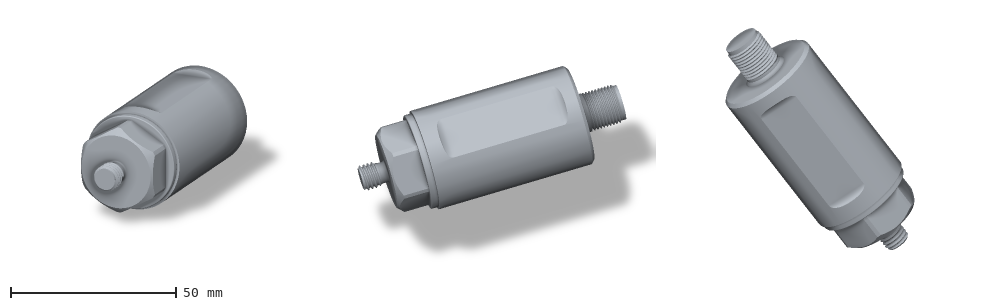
import cadquery as cq
import math


TOTAL_LENGTH = 82.35
STUD_LENGTH = 8.05
HEX_LENGTH = 9.85
RING_LENGTH = 2.25
BODY_LENGTH = 49.3
HEX_FRONT_Y = STUD_LENGTH
RING_FRONT_Y = HEX_FRONT_Y + HEX_LENGTH
BODY_FRONT_Y = RING_FRONT_Y + RING_LENGTH
BODY_BACK_Y = BODY_FRONT_Y + BODY_LENGTH

BODY_DIAMETER = 31.0
BODY_CHAMFER = 1.0

RECESS_DEPTH = 1.4
RECESS_FLAT_LENGTH = 35.0
RECESS_END_RADIUS = 2.5

RING_DIAMETER = 29.5
RING_FILLET = 0.3

HEX_SIDES = 6
HEX_ACROSS_FLATS = 24.0
HEX_CORNER_DIAMETER = 27.0
HEX_CHAMFER = 2.0

STUD_DIAMETER = 8.0
STUD_PITCH = 1.25
STUD_THREAD_TURNS = 4
STUD_ROOT_DIAMETER = 6.65
STUD_NECK_DIAMETER = 6.4
STUD_NECK_LENGTH = 2.5
STUD_NECK_TAPER_LENGTH = 0.4
STUD_NECK_FILLET = 0.5

PLUG_DIAMETER = 12.0
PLUG_PITCH = 1.0
PLUG_ROOT_DIAMETER = 10.8
PLUG_LEAD_LENGTH = 1.0
PLUG_COLLAR_LENGTH = 0.9
PLUG_CONE_HEIGHT = 1.0

CREST_TO_PITCH = 1 / 8
FLANK_ANGLE = math.radians(30)
RIDGE_OVERLAP = 0.1

CREST_CLEARANCE = 0.2


def cylinder(diameter, start_y, length):
    """Solid cylinder on the Y axis, from start_y towards +Y."""
    plane = cq.Workplane("XZ", origin=(0, start_y, 0))
    return plane.circle(diameter / 2).extrude(-length)


def thread_ridge(diameter, root_diameter, pitch, start_y, length):
    """Right-handed helical ridge whose centre line runs from start_y over length."""
    base_radius = root_diameter / 2 - RIDGE_OVERLAP
    tip_radius = diameter / 2
    crest_half = pitch * CREST_TO_PITCH / 2
    base_half = crest_half + (tip_radius - base_radius) * math.tan(FLANK_ANGLE)
    helix = cq.Wire.makeHelix(pitch, length, base_radius)
    profile = (
        cq.Workplane("XZ")
        .moveTo(base_radius, -base_half)
        .lineTo(tip_radius, -crest_half)
        .lineTo(tip_radius, crest_half)
        .lineTo(base_radius, base_half)
        .close()
    )
    ridge = profile.sweep(cq.Workplane(obj=helix), isFrenet=True)
    return ridge.rotate((0, 0, 0), (1, 0, 0), -90).translate((0, start_y, 0))


def make_body():
    """Sleeve with a chamfered plug end and two opposite label recesses."""
    body = cylinder(BODY_DIAMETER, BODY_FRONT_Y, BODY_LENGTH)
    body = body.faces(">Y").chamfer(BODY_CHAMFER)
    for side in (1, -1):
        body = body.cut(label_recess(side))
    return body


def label_recess(side):
    """Flat-bottomed cut with concave quarter-round ends, on the +Z (1) or -Z (-1) side."""
    floor_z = side * (BODY_DIAMETER / 2 - RECESS_DEPTH)
    arc_top_z = floor_z + side * RECESS_END_RADIUS
    middle_y = BODY_FRONT_Y + BODY_LENGTH / 2
    flat_half = RECESS_FLAT_LENGTH / 2
    end_half = flat_half + RECESS_END_RADIUS
    arc_middle_offset = RECESS_END_RADIUS * math.sqrt(0.5)
    arc_y = flat_half + arc_middle_offset
    arc_z = arc_top_z - side * arc_middle_offset
    return (
        cq.Workplane("YZ")
        .moveTo(middle_y - flat_half, floor_z)
        .lineTo(middle_y + flat_half, floor_z)
        .threePointArc((middle_y + arc_y, arc_z), (middle_y + end_half, arc_top_z))
        .lineTo(middle_y - end_half, arc_top_z)
        .threePointArc((middle_y - arc_y, arc_z), (middle_y - flat_half, floor_z))
        .close()
        .extrude(BODY_DIAMETER / 2, both=True)
    )


def make_ring():
    """Seal ring with rounded edges."""
    return cylinder(RING_DIAMETER, RING_FRONT_Y, RING_LENGTH).edges().fillet(RING_FILLET)


def make_hexagon():
    """Hexagon with flats facing +X and -X, corners turned down and front edge chamfered."""
    half_side_angle = 180 / HEX_SIDES
    sharp_corner_diameter = HEX_ACROSS_FLATS / math.cos(math.radians(half_side_angle))
    prism = (
        cq.Workplane("XZ", origin=(0, HEX_FRONT_Y, 0))
        .transformed(rotate=(0, 0, half_side_angle))
        .polygon(HEX_SIDES, sharp_corner_diameter)
        .extrude(-HEX_LENGTH)
    )
    turned = cylinder(HEX_CORNER_DIAMETER, HEX_FRONT_Y, HEX_LENGTH).faces("<Y").chamfer(HEX_CHAMFER)
    return prism.intersect(turned)


def make_stud():
    """M8 stud: threaded end with a lead chamfer and a plain neck against the hexagon."""
    thread_length = STUD_LENGTH - STUD_NECK_LENGTH
    neck = cylinder(STUD_NECK_DIAMETER, 0, STUD_LENGTH)
    core = cylinder(STUD_ROOT_DIAMETER, 0, thread_length + STUD_NECK_TAPER_LENGTH)
    neck_step = (STUD_ROOT_DIAMETER - STUD_NECK_DIAMETER) / 2
    core = core.faces(">Y").chamfer(STUD_NECK_TAPER_LENGTH, neck_step)
    ridge_length = STUD_THREAD_TURNS * STUD_PITCH
    ridge = thread_ridge(STUD_DIAMETER, STUD_ROOT_DIAMETER, STUD_PITCH, 0, ridge_length)
    envelope_diameter = STUD_DIAMETER + CREST_CLEARANCE
    envelope = cylinder(envelope_diameter, 0, thread_length)
    lead_chamfer = (envelope_diameter - STUD_ROOT_DIAMETER) / 2
    ridge = ridge.intersect(envelope.faces("<Y").chamfer(lead_chamfer))
    return neck.union(core).union(ridge)


def fillet_neck(part):
    """Round the corner where the stud neck meets the hexagon face."""
    corner = cq.selectors.BoxSelector(
        (-STUD_DIAMETER / 2, HEX_FRONT_Y - STUD_NECK_FILLET, -STUD_DIAMETER / 2),
        (STUD_DIAMETER / 2, HEX_FRONT_Y + STUD_NECK_FILLET, STUD_DIAMETER / 2),
        boundingbox=True,
    )
    return part.edges(corner).fillet(STUD_NECK_FILLET)


def make_plug():
    """M12 plug: threaded barrel, plain collar and a cone widening into the sleeve."""
    core = cylinder(PLUG_ROOT_DIAMETER, BODY_BACK_Y, TOTAL_LENGTH - BODY_BACK_Y)
    collar_y = BODY_BACK_Y + PLUG_CONE_HEIGHT
    collar = cylinder(PLUG_DIAMETER, collar_y, PLUG_COLLAR_LENGTH)
    cone = cq.Workplane(
        obj=cq.Solid.makeCone(
            PLUG_DIAMETER / 2 + PLUG_CONE_HEIGHT,
            PLUG_DIAMETER / 2,
            PLUG_CONE_HEIGHT,
            pnt=cq.Vector(0, BODY_BACK_Y, 0),
            dir=cq.Vector(0, 1, 0),
        )
    )
    ridge_y = collar_y + PLUG_COLLAR_LENGTH
    thread_length = TOTAL_LENGTH - PLUG_LEAD_LENGTH - ridge_y
    ridge = thread_ridge(PLUG_DIAMETER, PLUG_ROOT_DIAMETER, PLUG_PITCH, ridge_y, thread_length)
    envelope_diameter = PLUG_DIAMETER + CREST_CLEARANCE
    envelope = cylinder(envelope_diameter, BODY_BACK_Y, ridge_y + thread_length - BODY_BACK_Y)
    lead_chamfer = (envelope_diameter - PLUG_ROOT_DIAMETER) / 2
    ridge = ridge.intersect(envelope.faces(">Y").chamfer(lead_chamfer))
    return core.union(ridge).union(collar).union(cone)


sensor = make_body().union(make_ring()).union(make_hexagon()).union(make_stud()).union(make_plug())
result = fillet_neck(sensor).solids()